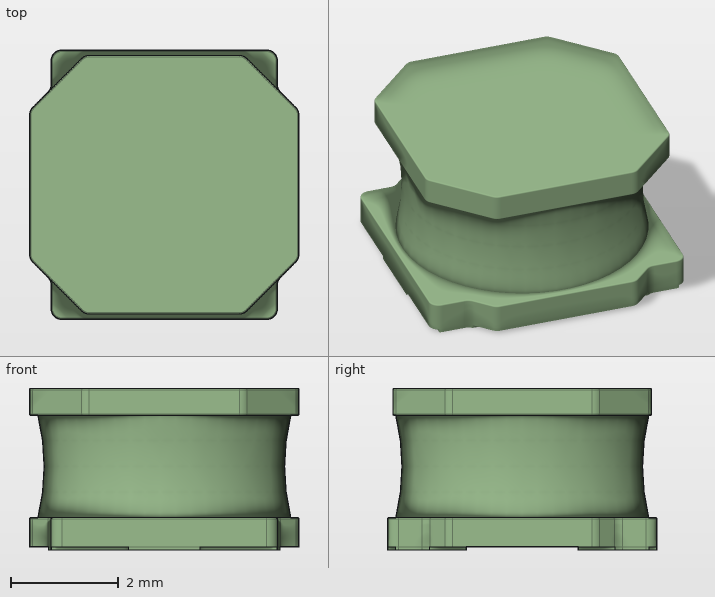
import cadquery as cq

OVERALL_WIDTH = 5.0
OVERALL_HEIGHT = 3.0

PAD_THICKNESS = 0.06
BASE_TOP = 0.6
TOP_PLATE_THICKNESS = 0.5

HALF_WIDTH = OVERALL_WIDTH / 2
TOP_HALF_DEPTH = 2.4
CORNER_CUT = 1.025
EAR_HALF_WIDTH = 2.1
CORNER_RADIUS = 0.2
EDGE_RADIUS = 0.025

CORE_END_RADIUS = 2.35
CORE_WAIST_RADIUS = 2.235

PAD_INNER_Y = 1.035
PAD_HALF_WIDTH = 2.15
PAD_OUTER_Y = 2.355
TONGUE_HALF_WIDTH = 0.66

TOP_PLATE_BOTTOM = OVERALL_HEIGHT - TOP_PLATE_THICKNESS
CUT_SUM = HALF_WIDTH + TOP_HALF_DEPTH - CORNER_CUT
CUT_START_Y = CUT_SUM - HALF_WIDTH


def mirrored_outline(quadrant):
    """Close an outline from its first-quadrant points, listed from the X side to the Y side."""
    upper = quadrant + [(-x, y) for x, y in reversed(quadrant)]
    lower = [(-x, -y) for x, y in upper]
    return upper + lower


def plate(quadrant, bottom, top):
    """Extrude a symmetric outline and round its upright corners."""
    body = cq.Workplane("XY").workplane(offset=bottom).polyline(mirrored_outline(quadrant)).close()
    return body.extrude(top - bottom).edges("|Z").fillet(CORNER_RADIUS)


def top_plate():
    """Octagonal plate with softened upper and lower rims."""
    quadrant = [(HALF_WIDTH, CUT_START_Y), (CUT_SUM - TOP_HALF_DEPTH, TOP_HALF_DEPTH)]
    return plate(quadrant, TOP_PLATE_BOTTOM, OVERALL_HEIGHT).faces("<Z or >Z").edges().fillet(EDGE_RADIUS)


def base_blank(bottom):
    """Base plate with four ears beyond the corner cuts, sharp at both rims."""
    quadrant = [
        (HALF_WIDTH, CUT_START_Y),
        (EAR_HALF_WIDTH, CUT_SUM - EAR_HALF_WIDTH),
        (EAR_HALF_WIDTH, HALF_WIDTH),
    ]
    return plate(quadrant, bottom, BASE_TOP)


def core():
    """Round core narrowed to a waist by a hollow arc."""
    middle = (BASE_TOP + TOP_PLATE_BOTTOM) / 2
    profile = (
        cq.Workplane("XZ")
        .moveTo(0, BASE_TOP)
        .lineTo(CORE_END_RADIUS, BASE_TOP)
        .threePointArc((CORE_WAIST_RADIUS, middle), (CORE_END_RADIUS, TOP_PLATE_BOTTOM))
        .lineTo(0, TOP_PLATE_BOTTOM)
        .close()
    )
    return profile.revolve(360, (0, 0, 0), (0, 1, 0))


def pads():
    """Two thin pads trimmed to the base outline, each with a tongue reaching the base edge."""
    both = cq.Workplane("XY")
    for side in (-1, 1):
        for half_width, outer_y in ((PAD_HALF_WIDTH, PAD_OUTER_Y), (TONGUE_HALF_WIDTH, HALF_WIDTH)):
            block = (
                cq.Workplane("XY")
                .center(0, side * (PAD_INNER_Y + outer_y) / 2)
                .rect(2 * half_width, outer_y - PAD_INNER_Y)
                .extrude(PAD_THICKNESS)
            )
            both = both.add(block)
    return both.combine().intersect(base_blank(0))


base_plate = base_blank(PAD_THICKNESS).faces(">Z").edges().fillet(EDGE_RADIUS)
result = base_plate.union(core()).union(top_plate()).union(pads(), clean=False)